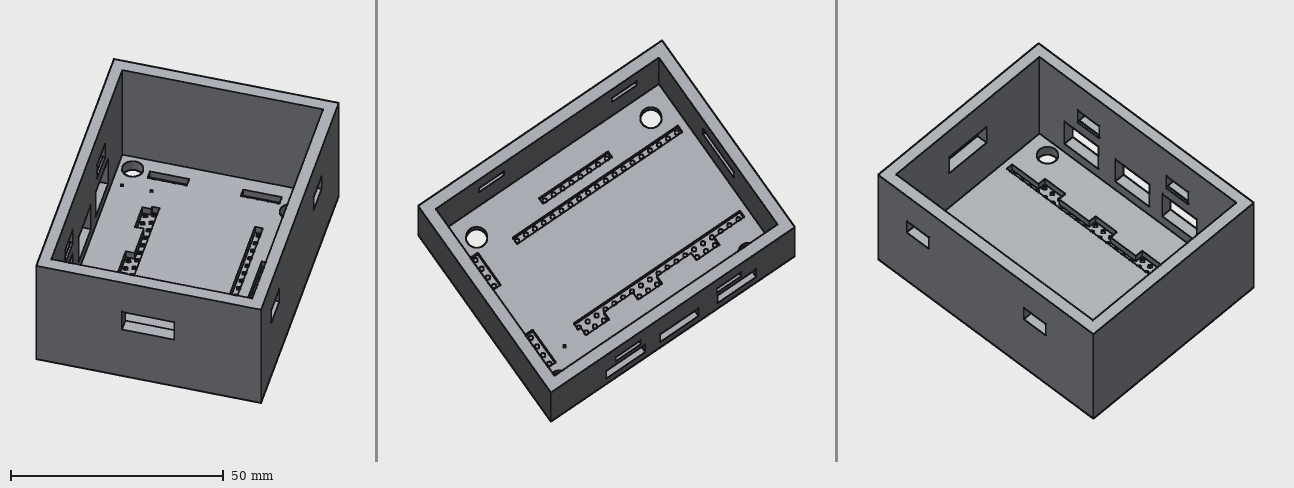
import cadquery as cq

LENGTH_X = 54.8
LENGTH_Y = 69.9
HEIGHT = 31.7
WALL = 3.0
LEFT_WALL = 2.9
FLOOR = 3.0

MOUNT_DIAMETER = 5.0
MOUNT_CENTERS = [(6.4, 63.05), (45.9, 59.3), (6.3, 8.9), (46.2, 9.15)]

SLOT_DEPTH = 2.0
LONG_PIN_COUNT = 19
LONG_ROW_LENGTH = 45.7
PIN_PITCH = LONG_ROW_LENGTH / (LONG_PIN_COUNT - 1)
PIN_DIAMETER = 1.05

BLIND_SKIN = 0.5

REAR_SLOT_FRONT = 61.15
REAR_SLOT_BACK = 63.3
REAR_PIN_Y = 62.35
REAR_PIN_COUNT = 4
REAR_SLOTS = [(10.55, 20.1, 11.5), (33.3, 42.7, 34.3)]

SIDE_SLOTS = [
    ((14.05, 15.9), (4.75, 52.35), 14.75, 5.95, LONG_PIN_COUNT),
    ((39.15, 41.0), (5.0, 52.35), 40.2, 5.95, LONG_PIN_COUNT),
    ((43.6, 45.3), (22.1, 41.9), 44.45, 23.0, 8),
    ((11.9, 14.05), (44.95, 51.6), 12.8, 45.85, 3),
    ((11.9, 14.05), (29.8, 36.7), 12.8, 30.6, 3),
    ((11.9, 14.05), (13.35, 20.0), 12.8, 14.05, 3),
]

LEAD_DIAMETER = 0.66
LEAD_CENTERS = [(5.4, 57.25), (12.6, 57.25)]

FRONT_WINDOW_X = (20.9, 33.6)
FRONT_WINDOW_Z = (15.8, 21.75)
LARGE_WINDOW_Z = (6.1, 14.4)
LARGE_WINDOWS_Y = [(42.85, 54.0), (27.6, 38.65), (11.1, 22.15)]
SMALL_WINDOW_Z = (18.0, 22.3)
LEFT_SMALL_WINDOWS_Y = [(44.1, 51.3), (15.4, 22.4)]
RIGHT_SMALL_WINDOWS_Y = [(47.3, 54.45), (9.3, 16.4)]

SILL_STEP_WIDTH = 0.55
SILL_STEP_DROP = 0.3


def block(x_range, y_range, z_range):
    """Box spanning the given coordinate ranges."""
    (x0, x1), (y0, y1), (z0, z1) = x_range, y_range, z_range
    return cq.Workplane("XY").box(x1 - x0, y1 - y0, z1 - z0, centered=False).translate((x0, y0, z0))


def floor_holes(centers, diameter, bottom):
    """Vertical cylinders from the given height up to the tray floor."""
    plane = cq.Workplane("XY", origin=(0, 0, bottom))
    return plane.pushPoints(centers).circle(diameter / 2).extrude(FLOOR - bottom)


result = block((0, LENGTH_X), (0, LENGTH_Y), (0, HEIGHT))
result = result.cut(block((LEFT_WALL, LENGTH_X - WALL), (WALL, LENGTH_Y - WALL), (FLOOR, HEIGHT)))

slot_z = (FLOOR - SLOT_DEPTH, FLOOR)
pins = []
for left, right, first_pin_x in REAR_SLOTS:
    result = result.cut(block((left, right), (REAR_SLOT_FRONT, REAR_SLOT_BACK), slot_z))
    pins += [(first_pin_x + i * PIN_PITCH, REAR_PIN_Y) for i in range(REAR_PIN_COUNT)]
for x_range, y_range, pin_x, first_pin_y, count in SIDE_SLOTS:
    result = result.cut(block(x_range, y_range, slot_z))
    pins += [(pin_x, first_pin_y + i * PIN_PITCH) for i in range(count)]

result = result.cut(floor_holes(MOUNT_CENTERS, MOUNT_DIAMETER, 0))
result = result.cut(floor_holes(LEAD_CENTERS, LEAD_DIAMETER, BLIND_SKIN))
result = result.cut(floor_holes(pins, PIN_DIAMETER, BLIND_SKIN))

left_wall = (0, LEFT_WALL)
sill_step_x = (LEFT_WALL - SILL_STEP_WIDTH, LEFT_WALL)
sill_step_z = (SMALL_WINDOW_Z[0] - SILL_STEP_DROP, SMALL_WINDOW_Z[0])
right_wall = (LENGTH_X - WALL, LENGTH_X)
result = result.cut(block(FRONT_WINDOW_X, (0, WALL), FRONT_WINDOW_Z))
for y_range in LARGE_WINDOWS_Y:
    result = result.cut(block(left_wall, y_range, LARGE_WINDOW_Z))
for y_range in LEFT_SMALL_WINDOWS_Y:
    result = result.cut(block(left_wall, y_range, SMALL_WINDOW_Z))
    result = result.cut(block(sill_step_x, y_range, sill_step_z))
for y_range in RIGHT_SMALL_WINDOWS_Y:
    result = result.cut(block(right_wall, y_range, SMALL_WINDOW_Z))